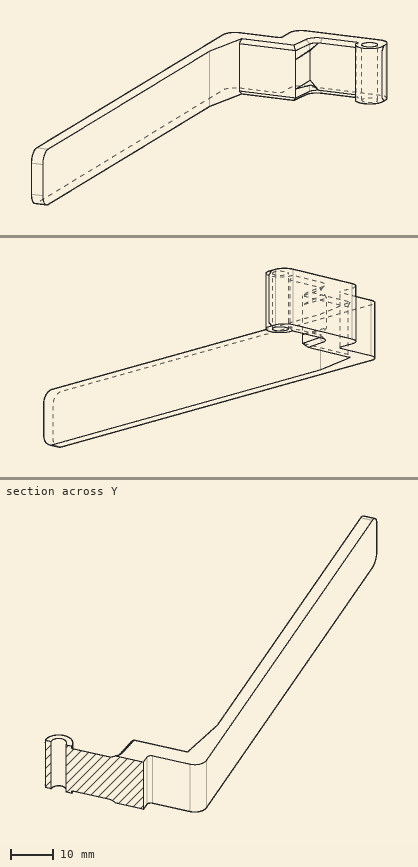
import cadquery as cq
import math

WIDTH = 38.8
LENGTH = 121.95
HEIGHT = 13.7

ARM_THICKNESS = 3.0
ROOT_THICKNESS = 5.3
TAPER_LENGTH = 12.0
CORNER_RADIUS = 3.0

SHELF_BACK_Y = LENGTH - 8.0
SHELF_FRONT_Y = LENGTH - 13.6
STEP_BACK_X = 13.7
STEP_FRONT_X = 20.0
STEP_SLANT = math.radians(6)
PLATE_FRONT_Y = LENGTH - 5.2
BACK_NOTCH_RADIUS = 1.0
INNER_RADIUS = 2.0
EDGE_CHAMFER = 1.0

EYE_RADIUS = 3.4
PIN_HOLE_DIAMETER = 3.8
EYE_X = WIDTH - EYE_RADIUS
EYE_Y = LENGTH - 4.9

RELIEF_BEVEL = 2.2

STEP_INNER_X = STEP_FRONT_X + (PLATE_FRONT_Y - SHELF_FRONT_Y) * math.tan(STEP_SLANT)


def on_vertical_edge(x, y):
    """Selector for the full-height edge that passes through (x, y)."""
    return cq.selectors.NearestToPointSelector((x, y, HEIGHT / 2))


def bracket_body():
    """Arm, shelf, step and rear plate with their rounded vertical corners."""
    outline = [
        (0, 0),
        (ARM_THICKNESS, 0),
        (ARM_THICKNESS, SHELF_FRONT_Y - TAPER_LENGTH),
        (ROOT_THICKNESS, SHELF_FRONT_Y),
        (STEP_FRONT_X, SHELF_FRONT_Y),
        (STEP_INNER_X, PLATE_FRONT_Y),
        (WIDTH, PLATE_FRONT_Y),
        (WIDTH, LENGTH),
        (STEP_BACK_X, LENGTH),
        (STEP_BACK_X, SHELF_BACK_Y),
        (0, SHELF_BACK_Y),
    ]
    rounded_corners = [
        (0, SHELF_BACK_Y, CORNER_RADIUS),
        (STEP_BACK_X, LENGTH, CORNER_RADIUS),
        (WIDTH, LENGTH, CORNER_RADIUS),
        (STEP_BACK_X, SHELF_BACK_Y, BACK_NOTCH_RADIUS),
        (STEP_INNER_X, PLATE_FRONT_Y, INNER_RADIUS),
    ]
    body = cq.Workplane("XY").polyline(outline).close().extrude(HEIGHT)
    for x, y, radius in rounded_corners:
        body = body.edges("|Z").edges(on_vertical_edge(x, y)).fillet(radius)
    return body


def round_arm_tip(body):
    return body.faces("<Y").edges("|X").fillet(CORNER_RADIUS)


def chamfer_inner_edges(body):
    """Bevel the upper and lower edges of the shelf, step and rear plate fronts."""
    shelf_middle = ((ROOT_THICKNESS + STEP_FRONT_X) / 2, SHELF_FRONT_Y)
    plate_middle = ((STEP_INNER_X + WIDTH) / 2, PLATE_FRONT_Y)
    for z in (0, HEIGHT):
        for x, y in (shelf_middle, plate_middle):
            edge = cq.selectors.NearestToPointSelector((x, y, z))
            body = body.edges(edge).chamfer(EDGE_CHAMFER)
    return body


def cut_corner_relief(body):
    """Cut straight back along Y to the rear plate, leaving bevelled corner webs."""
    low = EDGE_CHAMFER
    high = HEIGHT - EDGE_CHAMFER
    bevel_x = STEP_FRONT_X + RELIEF_BEVEL
    profile = [
        (STEP_FRONT_X, low + RELIEF_BEVEL),
        (bevel_x, low),
        (EYE_X, low),
        (EYE_X, high),
        (bevel_x, high),
        (STEP_FRONT_X, high - RELIEF_BEVEL),
    ]
    relief = (
        cq.Workplane("XZ", origin=(0, PLATE_FRONT_Y, 0))
        .polyline(profile)
        .close()
        .extrude(PLATE_FRONT_Y - SHELF_FRONT_Y)
    )
    return body.cut(relief)


def add_pin_eye(body):
    eye = cq.Workplane("XY").center(EYE_X, EYE_Y).circle(EYE_RADIUS).extrude(HEIGHT)
    pin_hole = cq.Workplane("XY").center(EYE_X, EYE_Y).circle(PIN_HOLE_DIAMETER / 2).extrude(HEIGHT)
    return body.union(eye).cut(pin_hole)


bracket = bracket_body()
bracket = round_arm_tip(bracket)
bracket = chamfer_inner_edges(bracket)
bracket = cut_corner_relief(bracket)
result = add_pin_eye(bracket)